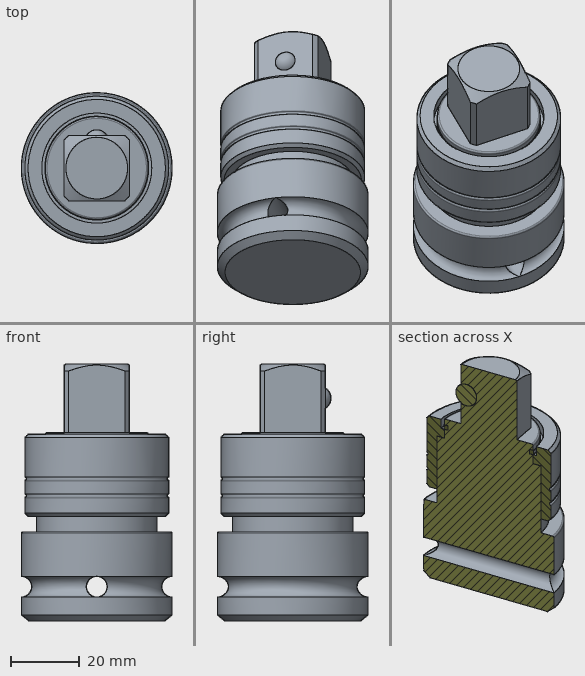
import cadquery as cq
import math

TOTAL_HEIGHT = 75.0
BASE_DIAMETER = 44.0
BASE_HEIGHT = 26.0
BASE_TOP_FILLET = 0.5
BASE_CHAMFER_RADIAL = 2.25
BASE_CHAMFER_HEIGHT = 1.9
NECK_RADIUS = 17.6
COLLAR_RADIUS = 15.0
COLLAR_TOP = 55.0
COLLAR_FILLET = 0.5

WAIST_RADIUS = 3.0
WAIST_HEIGHT = 10.05

DRIVE_WIDTH = 19.05
DRIVE_CORNER_CHAMFER = 1.35
TIP_FLAT_RADIUS = 9.0
TIP_ANGLE = 30.0

BALL_DIAMETER = 7.0
BALL_PROTRUSION = 1.65
BALL_BELOW_TIP = 10.0

SLEEVE_RADIUS = 21.0
SLEEVE_BOTTOM = 30.5
SLEEVE_HEIGHT = 24.0
SLEEVE_CHAMFER = 1.0
RECESS_RADIUS = 16.05
RECESS_DEPTH = 3.0
WEB_THICKNESS = 3.0

GRIP_RADIUS = 0.45
GRIP_EDGE_FILLET = 0.19
GRIP_COUNT = 2
GRIP_PITCH = 4.95
LOWEST_GRIP = 6.1

RING_OUTER_RADIUS = 15.15
RING_INNER_RADIUS = 13.9
RING_THICKNESS = 1.3

base_radius = BASE_DIAMETER / 2
ball_radius = BALL_DIAMETER / 2
sleeve_top = SLEEVE_BOTTOM + SLEEVE_HEIGHT
recess_floor = sleeve_top - RECESS_DEPTH
shoulder_height = recess_floor - WEB_THICKNESS


def cylinder(radius, bottom, top):
    """Solid cylinder about the Z axis."""
    return cq.Workplane("XY").workplane(offset=bottom).circle(radius).extrude(top - bottom)


def revolved(profile):
    """Solid of revolution about the Z axis from a closed profile of radius and height."""
    return profile.close().revolve(360, (0, 0), (0, 1))


def make_base():
    waist_bottom = WAIST_HEIGHT - WAIST_RADIUS
    waist_top = WAIST_HEIGHT + WAIST_RADIUS
    profile = (
        cq.Workplane("XZ")
        .lineTo(base_radius - BASE_CHAMFER_RADIAL, 0)
        .lineTo(base_radius, BASE_CHAMFER_HEIGHT)
        .lineTo(base_radius, waist_bottom)
        .threePointArc((base_radius - WAIST_RADIUS, WAIST_HEIGHT), (base_radius, waist_top))
        .lineTo(base_radius, BASE_HEIGHT)
        .lineTo(0, BASE_HEIGHT)
    )
    return revolved(profile).faces(">Z").edges().fillet(BASE_TOP_FILLET)


def make_drive():
    tip_slope = math.tan(math.radians(TIP_ANGLE))
    half_diagonal = DRIVE_WIDTH / math.sqrt(2)
    cone_drop = (half_diagonal - TIP_FLAT_RADIUS) * tip_slope
    tip_envelope = revolved(
        cq.Workplane("XZ")
        .moveTo(0, COLLAR_TOP)
        .lineTo(half_diagonal, COLLAR_TOP)
        .lineTo(half_diagonal, TOTAL_HEIGHT - cone_drop)
        .lineTo(TIP_FLAT_RADIUS, TOTAL_HEIGHT)
        .lineTo(0, TOTAL_HEIGHT)
    )
    square_bar = (
        cq.Workplane("XY")
        .workplane(offset=COLLAR_TOP)
        .rect(DRIVE_WIDTH, DRIVE_WIDTH)
        .extrude(TOTAL_HEIGHT - COLLAR_TOP)
        .edges("|Z")
        .chamfer(DRIVE_CORNER_CHAMFER)
    )
    return square_bar.intersect(tip_envelope)


def make_cross_hole():
    hole = cq.Workplane("XZ").center(0, WAIST_HEIGHT).circle(WAIST_RADIUS)
    return hole.extrude(base_radius, both=True)


def make_ball():
    center_y = DRIVE_WIDTH / 2 + BALL_PROTRUSION - ball_radius
    return cq.Workplane("XY").sphere(ball_radius).translate((0, center_y, TOTAL_HEIGHT - BALL_BELOW_TIP))


def make_retaining_ring():
    ring_top = recess_floor + RING_THICKNESS
    outside = cylinder(RING_OUTER_RADIUS, recess_floor, ring_top)
    return outside.cut(cylinder(RING_INNER_RADIUS, recess_floor, ring_top))


def make_adapter(ball, retaining_ring):
    neck = cylinder(NECK_RADIUS, BASE_HEIGHT, shoulder_height)
    collar = cylinder(COLLAR_RADIUS, shoulder_height, COLLAR_TOP).faces(">Z").edges().fillet(COLLAR_FILLET)
    body = make_base().union(neck).union(collar).union(make_drive())
    return body.cut(make_cross_hole()).cut(ball).cut(retaining_ring)


def make_grip_cutter(height):
    """Ring that cuts one round groove whose two edges blend into the sleeve surface."""
    center_offset = math.sqrt((GRIP_RADIUS + GRIP_EDGE_FILLET) ** 2 - GRIP_EDGE_FILLET**2)
    touch_ratio = GRIP_RADIUS / (GRIP_RADIUS + GRIP_EDGE_FILLET)
    touch_radius = SLEEVE_RADIUS - GRIP_EDGE_FILLET * touch_ratio
    touch_offset = center_offset * touch_ratio
    half_angle = math.atan2(center_offset, GRIP_EDGE_FILLET) / 2
    middle_radius = SLEEVE_RADIUS - GRIP_EDGE_FILLET * (1 - math.cos(half_angle))
    middle_offset = center_offset - GRIP_EDGE_FILLET * math.sin(half_angle)
    return revolved(
        cq.Workplane("XZ")
        .moveTo(SLEEVE_RADIUS, height - center_offset)
        .threePointArc((middle_radius, height - middle_offset), (touch_radius, height - touch_offset))
        .threePointArc((SLEEVE_RADIUS - GRIP_RADIUS, height), (touch_radius, height + touch_offset))
        .threePointArc((middle_radius, height + middle_offset), (SLEEVE_RADIUS, height + center_offset))
    )


def make_sleeve():
    sleeve = cylinder(SLEEVE_RADIUS, SLEEVE_BOTTOM, sleeve_top)
    sleeve = sleeve.faces("<Z or >Z").edges().chamfer(SLEEVE_CHAMFER)
    for index in range(GRIP_COUNT):
        sleeve = sleeve.cut(make_grip_cutter(SLEEVE_BOTTOM + LOWEST_GRIP + index * GRIP_PITCH))
    neck_bore = cylinder(NECK_RADIUS, SLEEVE_BOTTOM, shoulder_height)
    collar_bore = cylinder(COLLAR_RADIUS, shoulder_height, recess_floor)
    ring_recess = cylinder(RECESS_RADIUS, recess_floor, sleeve_top)
    return sleeve.cut(neck_bore).cut(collar_bore).cut(ring_recess)


ball = make_ball()
retaining_ring = make_retaining_ring()
adapter = make_adapter(ball, retaining_ring)
sleeve = make_sleeve()

result = cq.Compound.makeCompound([adapter.val(), sleeve.val(), retaining_ring.val(), ball.val()])